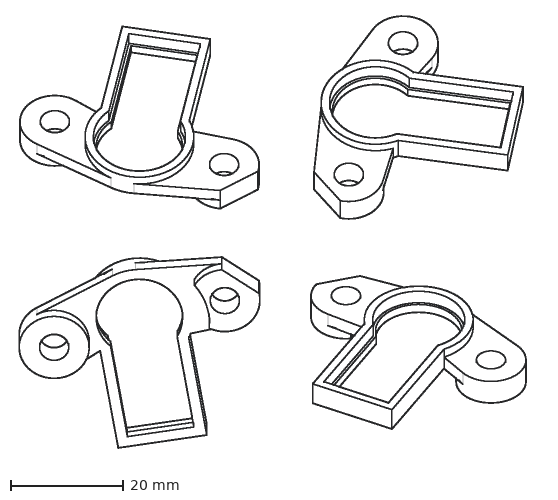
import cadquery as cq
import math


arm_angle = 135.0
ring_radius = 9.7
arm_half_width = 8.0
arm_reach = 25.3
frame_height = 4.4

wall = 1.5
ledge_width = 0.5
ledge_height = 1.8

left_hole = (-12.75, -9.55)
right_hole = (12.63, 9.67)
hole_diameter = 5.2
boss_radius = 6.25
lug_height = 2.6
boss_drop = 2.29
right_lug_limit = 17.373
relief_radius = 12.5


def keyhole(inset, bottom, top):
    """Ring disc plus arm, with the whole outline moved inward by inset."""
    height = top - bottom
    reach = arm_reach - inset
    width = 2 * (arm_half_width - inset)
    base = cq.Workplane("XY").workplane(offset=bottom)
    disc = base.circle(ring_radius - inset).extrude(height)
    arm = base.center(reach / 2, 0).rect(reach, width).extrude(height)
    arm = arm.rotate((0, 0, 0), (0, 0, 1), arm_angle)
    return disc.union(arm)


def polar(center, radius, angle):
    return (center[0] + radius * math.cos(angle), center[1] + radius * math.sin(angle))


def keyhole_corner(inset, side):
    """Corner where an arm side meets the ring; side is +1 or -1 across the arm."""
    radius = ring_radius - inset
    offset_angle = math.asin((arm_half_width - inset) / radius)
    return polar((0, 0), radius, math.radians(arm_angle) + side * offset_angle)


def lug_web(hole, start, side):
    """Web from the ring to a boss.

    One edge is tangent to the ring and the boss. The other runs from start, tangent to the
    boss. Side is +1 if the ring-tangent edge is to the left of the line from ring to hole.
    """
    hole_angle = math.atan2(hole[1], hole[0])
    taper = math.acos((ring_radius - boss_radius) / math.hypot(*hole))
    outer_normal = hole_angle + side * taper

    to_start = (start[0] - hole[0], start[1] - hole[1])
    start_spread = math.acos(boss_radius / math.hypot(*to_start))
    inner_normal = math.atan2(to_start[1], to_start[0]) + side * start_spread

    outline = [
        (0, 0),
        polar((0, 0), ring_radius, outer_normal),
        polar(hole, boss_radius, outer_normal),
        hole,
        polar(hole, boss_radius, inner_normal),
        start,
    ]
    return cq.Workplane("XY").polyline(outline).close().extrude(lug_height)


def boss(hole, bottom, top):
    base = cq.Workplane("XY").workplane(offset=bottom)
    return base.center(*hole).circle(boss_radius).extrude(top - bottom)


def left_lug():
    web = lug_web(left_hole, keyhole_corner(0, 1), 1)
    return web.union(boss(left_hole, -boss_drop, lug_height))


def right_lug():
    """Lug with a flat on its +X side and an underside boss relieved around the ring."""
    web = lug_web(right_hole, keyhole_corner(wall + ledge_width, -1), -1)
    relief = cq.Workplane("XY").circle(relief_radius).extrude(-boss_drop)
    foot = boss(right_hole, -boss_drop, 0).cut(relief)
    lug = web.union(boss(right_hole, 0, lug_height)).union(foot)

    trim_size = 2 * boss_radius
    trim = cq.Workplane("XY").box(trim_size, 2 * trim_size, trim_size)
    return lug.cut(trim.translate((right_lug_limit + trim_size / 2, right_hole[1], 0)))


def mounting_holes():
    base = cq.Workplane("XY").workplane(offset=-boss_drop)
    return base.pushPoints([left_hole, right_hole]).circle(hole_diameter / 2).extrude(boss_drop + lug_height)


frame = keyhole(0, 0, frame_height)
body = frame.union(left_lug()).union(right_lug())

through_opening = keyhole(wall + ledge_width, 0, frame_height)
upper_opening = keyhole(wall, ledge_height, frame_height)
result = body.cut(through_opening).cut(upper_opening).cut(mounting_holes())